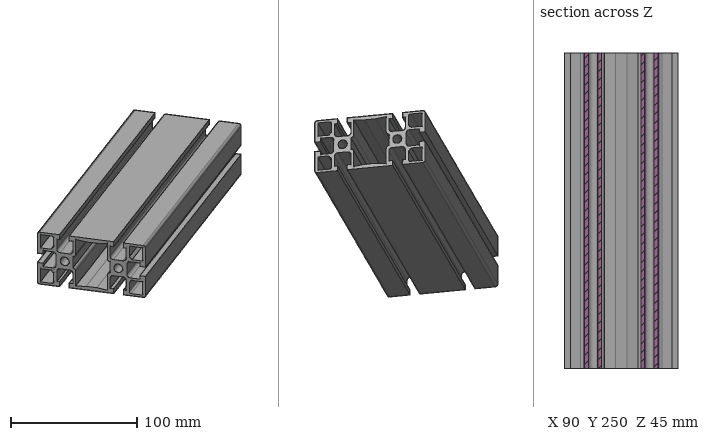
import cadquery as cq
import math

module = 45.0
width = 2 * module
height = module
length = 250.0
core_offset = module / 2
corner_radius = 2.0

mouth_half_width = 4.0
chamber_half_width = 7.0
chamber_outer_half_width = 6.2
top_lip = 4.2
side_lip = 4.8
slot_depth = 15.5
floor_radius = 2.8

hollow_outer_wall = 2.5
hollow_top_wall = 2.0
hollow_width = 11.0
hollow_height = 11.5
hollow_bevel = 2.2
hollow_radius = 1.5

bore_diameter = 7.2
bore_offset = 22.2

web = 2.2
window_half_width = core_offset - chamber_half_width - web
waist_half_width = 15.5
waist_half_height = 4.8
shoulder_radius = 2.5
window_edge_wall = 2.2
window_crown_wall = 3.2
crown_half_width = 4.5


def section():
    """Sketch plane of the bar's cross-section: local x is X, local y is Z."""
    return cq.Workplane("XZ", origin=(0, length / 2, 0))


def extrude(outline):
    """Run an outline along the whole length of the bar."""
    return outline.extrude(length)


def slot(lip, right_half_width):
    """T-slot centred on X = 0, with its mouth at Z = 0 and its floor below."""
    outline = section().polyline([
        (-mouth_half_width, 0),
        (mouth_half_width, 0),
        (mouth_half_width, -lip),
        (right_half_width, -lip),
        (right_half_width, -slot_depth),
        (-chamber_half_width, -slot_depth),
        (-chamber_half_width, -lip),
        (-mouth_half_width, -lip),
    ])
    return extrude(outline.close()).edges("|Y and <Z").fillet(floor_radius)


def corner_hollow():
    """Hollow in the +X +Z corner, beveled towards the core."""
    centre_x = width / 2 - hollow_outer_wall - hollow_width / 2
    centre_z = height / 2 - hollow_top_wall - hollow_height / 2
    hollow = extrude(section().center(centre_x, centre_z).rect(hollow_width, hollow_height))
    hollow = hollow.edges("|Y and <X and <Z").chamfer(hollow_bevel)
    return hollow.edges("|Y and <X and >Z").fillet(hollow_radius)


def window_quarter():
    """Quarter of the central window in +X +Z, with a rounded shoulder and a thicker crown."""
    arc_x = window_half_width + shoulder_radius
    waist_angle = math.acos((arc_x - waist_half_width) / shoulder_radius)
    arc_z = waist_half_height + shoulder_radius * math.sin(waist_angle)

    def on_arc(angle):
        x = arc_x - shoulder_radius * math.cos(angle)
        z = arc_z - shoulder_radius * math.sin(angle)
        return (x, z)

    outline = (
        section()
        .lineTo(waist_half_width, 0)
        .lineTo(*on_arc(waist_angle))
        .threePointArc(on_arc(waist_angle / 2), on_arc(0))
        .lineTo(window_half_width, height / 2 - window_edge_wall)
        .lineTo(crown_half_width, height / 2 - window_crown_wall)
        .lineTo(0, height / 2 - window_crown_wall)
    )
    return extrude(outline.close())


def both_sides(shape, plane):
    """Shape joined with its mirror image."""
    return shape.union(shape.mirror(plane))


bar = cq.Workplane("XY").box(width, length, height)
bar = bar.edges("|Y").fillet(corner_radius)

top_slot = slot(top_lip, chamber_outer_half_width).translate((core_offset, 0, height / 2))
side_slot = slot(side_lip, chamber_half_width).rotate((0, 0, 0), (0, 1, 0), 90).translate((width / 2, 0, 0))

right_cuts = [
    both_sides(top_slot, "XY"),
    side_slot,
    both_sides(corner_hollow(), "XY"),
    extrude(section().center(bore_offset, 0).circle(bore_diameter / 2)),
    both_sides(window_quarter(), "XY"),
]
for cut in right_cuts:
    bar = bar.cut(cut).cut(cut.mirror("YZ"))

result = bar